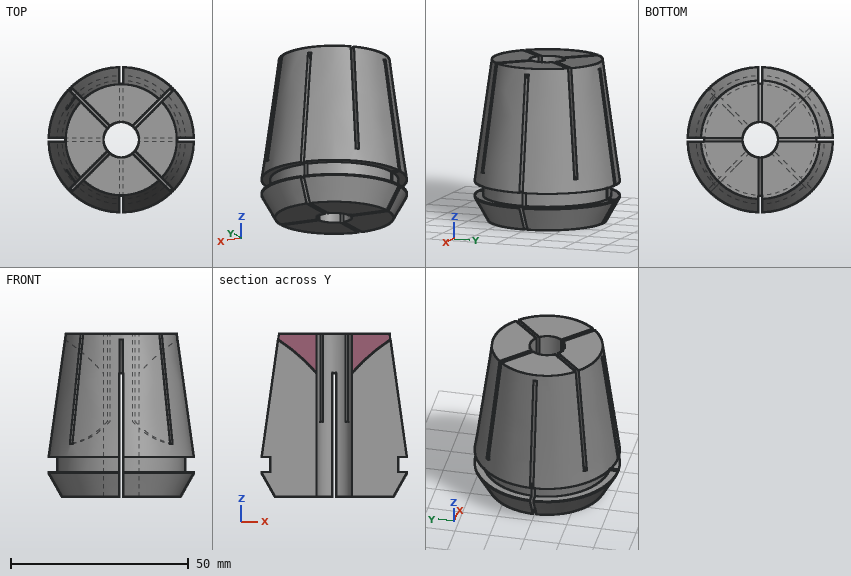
import cadquery as cq

height = 46.0
max_radius = 20.495
top_radius = 15.65
base_radius = 16.7
bore_radius = 4.95

groove_radius = 18.1
groove_bottom = 7.05
groove_top = 11.2
flange_rim_height = 0.3

slot_width = 1.0
slots_per_end = 4
slot_spacing = 360.0 / slots_per_end
cut_margin = 4.6

lower_slot_outer_z = 44.3
lower_slot_bore_z = 34.8
lower_slot_arc_radius = 52.9
upper_slot_outer_z = 14.95
upper_slot_bore_z = 21.25
upper_slot_arc_radius = 30.0


def taper_radius(z):
    """Outer radius of the long taper at height z."""
    fraction = (z - groove_top) / (height - groove_top)
    return max_radius + fraction * (top_radius - max_radius)


def make_body():
    """Revolved collet with its long taper, groove, flange and bore."""
    outline = [
        (bore_radius, 0),
        (base_radius, 0),
        (max_radius, groove_bottom - flange_rim_height),
        (max_radius, groove_bottom),
        (groove_radius, groove_bottom),
        (groove_radius, groove_top),
        (max_radius, groove_top),
        (top_radius, height),
        (bore_radius, height),
    ]
    return cq.Workplane("XZ").polyline(outline).close().revolve(360, (0, 0), (0, 1))


def make_slot(open_z, outer_z, bore_z, arc_radius):
    """Slot along +X, open at open_z, with a saw-cut arc closing its other end."""
    outside = max_radius + cut_margin
    return (
        cq.Workplane("XZ")
        .moveTo(0, open_z)
        .lineTo(0, bore_z)
        .lineTo(bore_radius, bore_z)
        .radiusArc((taper_radius(outer_z), outer_z), arc_radius)
        .lineTo(outside, outer_z)
        .lineTo(outside, open_z)
        .close()
        .extrude(slot_width / 2, both=True)
    )


def cut_slots(body, slot, first_angle):
    """Cut equally spaced copies of a slot around the Z axis."""
    for index in range(slots_per_end):
        angle = first_angle + index * slot_spacing
        body = body.cut(slot.rotate((0, 0, 0), (0, 0, 1), angle))
    return body


lower_slot = make_slot(-cut_margin, lower_slot_outer_z, lower_slot_bore_z, lower_slot_arc_radius)
upper_slot = make_slot(height + cut_margin, upper_slot_outer_z, upper_slot_bore_z, -upper_slot_arc_radius)

result = make_body()
result = cut_slots(result, lower_slot, 0)
result = cut_slots(result, upper_slot, slot_spacing / 2)